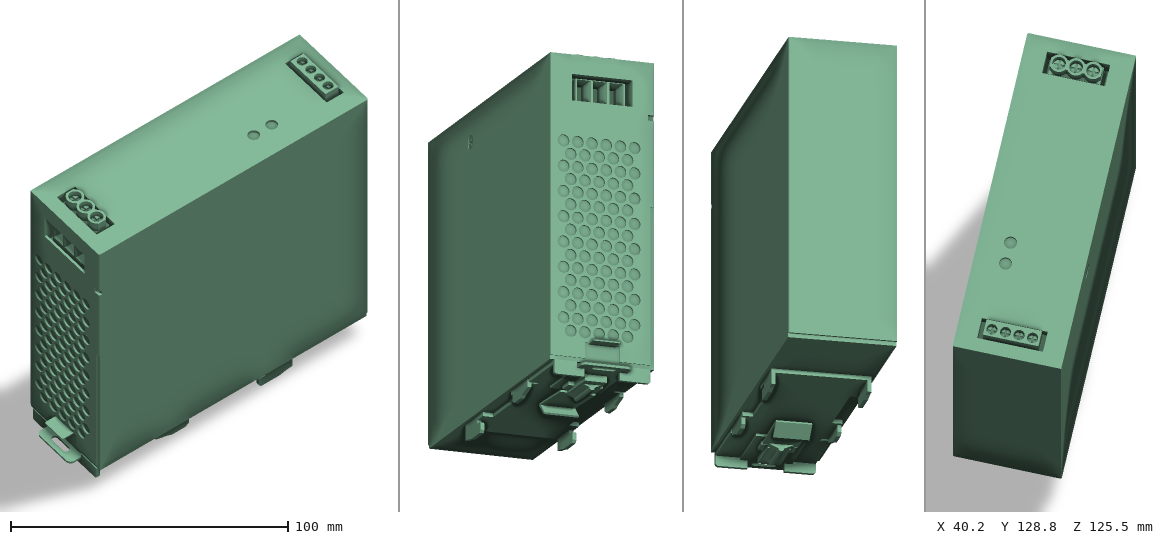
import cadquery as cq
import math


WIDTH = 40.2
DEPTH = 123.5
HEIGHT = 115.3
COVER_CORNER = 0.6
SKIRT_HEIGHT = 1.5
SKIRT_FRONT = 0.4
SKIRT_BACK = 0.9
SEAM_WIDTH = 1.5
SEAM_TOP = 61.0
NOTCH_WIDTH = 2.6
NOTCH_HEIGHT = 2.0
NOTCH_Z = 94.5
NOTCH_DEPTH = 1.3

TAB_CENTER_X = 20.0
TAB_POCKET_WIDTH = 13.3
TAB_POCKET_TOP = 7.5
TAB_WIDTH = 10.4
TAB_THICKNESS = 0.5
TAB_REACH = 5.0
TAB_CORNER = 0.5

VENT_DIAMETER = 4.5
VENT_ROWS = 16
VENT_LONG_ROW = 6
VENT_ROW_SPAN = 27.4
VENT_PITCH = VENT_ROW_SPAN / (VENT_LONG_ROW - 1)
VENT_ROW_PITCH = VENT_PITCH * math.sin(math.radians(60))
VENT_FIRST_X = 5.0
VENT_TOP_Z = 82.5
VENT_DEPTH = 0.8

LED_DIAMETER = 4.6
LED_X = 28.5
LED_YS = (80.1, 88.4)
LED_DEPTH = 1.0
SCREW_DIAMETER = 5.3
SCREW_Y = 80.6
SCREW_Z = 103.7
SCREW_RECESS = 0.3
SCREW_SLOT_LENGTH = 3.0
SCREW_SLOT_WIDTH = 0.6
SCREW_SLOT_DEPTH = 1.0

TERMINAL_RISE = 2.2
REAR_POCKET = (7.9, 32.2, 110.6, 118.5)
REAR_BLOCK = (9.8, 30.3, 111.5, 117.6)
REAR_POCKET_DEPTH = 3.9
REAR_POLES = 4
REAR_PITCH = 5.0
REAR_SCREW_Y = 114.9
REAR_HOLE_DIAMETER = 4.0
REAR_SCREW_DIAMETER = 3.5

FRONT_POCKET = (8.4, 31.7, 5.5, 13.9)
FRONT_BLOCK = (10.4, 29.6, 6.3, 13.1)
FRONT_POLES = 3
FRONT_PITCH = 6.3
FRONT_COLLAR_DIAMETER = 6.7
FRONT_WEB = 0.8
FRONT_WEB_START = 8.0
FRONT_WEB_END = 11.6
FRONT_SHOULDER_DROP = 1.9
FRONT_HOLE_DIAMETER = 4.9
FRONT_SCREW_DIAMETER = 4.0
TERMINAL_HOLE_DEPTH = 3.2
TERMINAL_SCREW_HEIGHT = 1.3
TERMINAL_SLOT_WIDTH = 0.8

WINDOW_BOTTOM = 98.0
WINDOW_TOP = 107.9
PANEL = 1.0
POCKET_FLOOR = 95.3
ENTRY_BLOCK_FRONT = 2.2
ENTRY_BLOCK_TOP = 107.0
ENTRY_WIDTH = 5.4
ENTRY_BOTTOM = 98.4
ENTRY_TOP = 106.8
ENTRY_INNER_WIDTH = 2.6
ENTRY_INNER_BOTTOM = 100.0
ENTRY_INNER_TOP = 105.9
ENTRY_FUNNEL_DEPTH = 3.9
ENTRY_INNER_DEPTH = 2.6

SHEET = 1.5
BRACKET_X0 = 1.5
BRACKET_X1 = 38.6
BRACKET_BACK = 89.9
FLANGE_DROP = 5.4
FLANGE_CORNER = 1.0
FLANGE_NOTCH_WIDTH = 13.7
GUIDE_WIDTH = 16.4
GUIDE_SETBACK = 0.9
SIDE_NOTCHES = ((25.6, 27.2), (43.9, 72.1))
SIDE_NOTCH_DEPTH = 3.9
SLIDE_WIDTH = 19.3
SLIDE_THICKNESS = 0.9
SLIDE_FRONT = -5.3
SLIDE_BACK = 27.2
SLIDE_CORNER = 2.2
SLIDE_HOLE_LENGTH = 9.0
SLIDE_HOLE_WIDTH = 2.6
SLIDE_HOLE_Y = -1.8
SLIDE_UNDERSIDE = -SHEET - SLIDE_THICKNESS
RIB_WIDTH = 8.5
RIB_FRONT = 6.2
RIB_BACK = 22.5
RIB_BOTTOM = -4.9
SHOULDER_WIDTH = 13.3
SHOULDER_FRONT = 16.7
SHOULDER_BOTTOM = -3.9
GRIP_FRONT = 10.2
GRIP_BACK = 25.6
GRIP_SHOULDER = -4.5
GRIP_TIP_RADIUS = 1.0
GRIP_TIP_Z = -5.9
SPRING_WIDTH = 13.4
SPRING_ROOT = GRIP_BACK - 1.3


def box(x0, x1, y0, y1, z0, z1):
    """Box between two opposite corners."""
    return cq.Workplane("XY").box(x1 - x0, y1 - y0, z1 - z0, centered=False).translate((x0, y0, z0))


def box_about(center_x, width, y0, y1, z0, z1):
    """Box placed symmetrically about a given x."""
    return box(center_x - width / 2, center_x + width / 2, y0, y1, z0, z1)


def upright_cylinder(x, y, diameter, z0, z1):
    return cq.Workplane("XY", origin=(x, y, z0)).circle(diameter / 2).extrude(z1 - z0)


def side_profile(profile, x0, x1):
    """Extrude a YZ outline between two x positions."""
    return profile.extrude(x1 - x0).translate((x0, 0, 0))


def pole_positions(block, count, pitch):
    """Evenly spaced x positions centred on a terminal block."""
    middle = (block[0] + block[1]) / 2
    return [middle + (i - (count - 1) / 2) * pitch for i in range(count)]


def make_housing():
    body = box(0, WIDTH, 0, DEPTH, 0, HEIGHT).edges("|Z and >X").fillet(COVER_CORNER)
    body = body.cut(box(0, WIDTH, 0, SKIRT_FRONT, 0, SKIRT_HEIGHT))
    body = body.cut(box(0, WIDTH, DEPTH - SKIRT_BACK, DEPTH, 0, SKIRT_HEIGHT))
    body = body.cut(box(WIDTH - SEAM_WIDTH, WIDTH, 0, SKIRT_FRONT, 0, SEAM_TOP))
    notch_bottom = NOTCH_Z - NOTCH_HEIGHT / 2
    return body.cut(
        box(WIDTH - NOTCH_WIDTH, WIDTH, 0, NOTCH_DEPTH, notch_bottom, notch_bottom + NOTCH_HEIGHT)
    )


def add_tab(body):
    body = body.cut(box_about(TAB_CENTER_X, TAB_POCKET_WIDTH, 0, SKIRT_FRONT, 0, TAB_POCKET_TOP))
    tab = box_about(
        TAB_CENTER_X, TAB_WIDTH, -TAB_REACH, SKIRT_FRONT, TAB_POCKET_TOP - TAB_THICKNESS, TAB_POCKET_TOP
    )
    return body.union(tab.edges("|Z and <Y").fillet(TAB_CORNER))


def cut_vents(body):
    """Staggered rows of vents, alternately one hole shorter."""
    points = []
    for row in range(VENT_ROWS):
        short = row % 2
        for column in range(VENT_LONG_ROW - short):
            x = VENT_FIRST_X + (column + short / 2) * VENT_PITCH
            points.append((x, VENT_TOP_Z - row * VENT_ROW_PITCH))
    vents = cq.Workplane("XZ").pushPoints(points).circle(VENT_DIAMETER / 2).extrude(-VENT_DEPTH)
    return body.cut(vents)


def cut_leds(body):
    for y in LED_YS:
        body = body.cut(upright_cylinder(LED_X, y, LED_DIAMETER, HEIGHT - LED_DEPTH, HEIGHT))
    return body


def cut_side_screw(body):
    """Sunk screw head with a cross recess on the -X face."""
    plane = cq.Workplane("YZ").center(SCREW_Y, SCREW_Z)
    body = body.cut(plane.circle(SCREW_DIAMETER / 2).extrude(SCREW_RECESS))
    body = body.cut(plane.rect(SCREW_SLOT_LENGTH, SCREW_SLOT_WIDTH).extrude(SCREW_SLOT_DEPTH))
    return body.cut(plane.rect(SCREW_SLOT_WIDTH, SCREW_SLOT_LENGTH).extrude(SCREW_SLOT_DEPTH))


def drill_terminal(body, x, y, hole_diameter, screw_diameter):
    """Screw hole from the terminal top with a cross-slotted screw on its floor."""
    top = HEIGHT + TERMINAL_RISE
    floor = top - TERMINAL_HOLE_DEPTH
    body = body.cut(upright_cylinder(x, y, hole_diameter, floor, top))
    screw = upright_cylinder(x, y, screw_diameter, floor, floor + TERMINAL_SCREW_HEIGHT)
    slots = cq.Workplane("XY", origin=(x, y, floor + TERMINAL_SCREW_HEIGHT / 2))
    screw = screw.cut(slots.rect(screw_diameter, TERMINAL_SLOT_WIDTH).extrude(TERMINAL_SCREW_HEIGHT))
    screw = screw.cut(slots.rect(TERMINAL_SLOT_WIDTH, screw_diameter).extrude(TERMINAL_SCREW_HEIGHT))
    return body.union(screw)


def add_rear_terminal(body):
    floor = HEIGHT - REAR_POCKET_DEPTH
    body = body.cut(box(*REAR_POCKET, floor, HEIGHT))
    body = body.union(box(*REAR_BLOCK, floor, HEIGHT + TERMINAL_RISE))
    for x in pole_positions(REAR_BLOCK, REAR_POLES, REAR_PITCH):
        body = drill_terminal(body, x, REAR_SCREW_Y, REAR_HOLE_DIAMETER, REAR_SCREW_DIAMETER)
    return body


def make_wire_entry(x):
    """Tapered funnel ending in a narrow rectangular hole."""
    outer_z = (ENTRY_BOTTOM + ENTRY_TOP) / 2
    inner_z = (ENTRY_INNER_BOTTOM + ENTRY_INNER_TOP) / 2
    inner_height = ENTRY_INNER_TOP - ENTRY_INNER_BOTTOM
    inner_y = ENTRY_BLOCK_FRONT + ENTRY_FUNNEL_DEPTH
    funnel = (
        cq.Workplane("XZ", origin=(x, ENTRY_BLOCK_FRONT, outer_z))
        .rect(ENTRY_WIDTH, ENTRY_TOP - ENTRY_BOTTOM)
        .workplane(offset=-ENTRY_FUNNEL_DEPTH)
        .center(0, inner_z - outer_z)
        .rect(ENTRY_INNER_WIDTH, inner_height)
        .loft(ruled=True)
    )
    inner = box_about(
        x, ENTRY_INNER_WIDTH, inner_y, inner_y + ENTRY_INNER_DEPTH, ENTRY_INNER_BOTTOM, ENTRY_INNER_TOP
    )
    return funnel.union(inner)


def add_front_terminal(body):
    x0, x1, y0, y1 = FRONT_BLOCK
    center_y = (y0 + y1) / 2
    top = HEIGHT + TERMINAL_RISE
    poles = pole_positions(FRONT_BLOCK, FRONT_POLES, FRONT_PITCH)

    pocket_x0, pocket_x1 = FRONT_POCKET[:2]
    body = body.cut(box(*FRONT_POCKET, POCKET_FLOOR, HEIGHT))
    body = body.cut(box(pocket_x0, pocket_x1, PANEL, y0, POCKET_FLOOR, WINDOW_TOP))
    body = body.cut(box(pocket_x0, pocket_x1, 0, PANEL, WINDOW_BOTTOM, WINDOW_TOP))
    body = body.union(box(*FRONT_BLOCK, POCKET_FLOOR, HEIGHT - FRONT_SHOULDER_DROP))
    body = body.union(box(x0, x1, ENTRY_BLOCK_FRONT, y0, POCKET_FLOOR, ENTRY_BLOCK_TOP))
    for x in poles:
        collar = upright_cylinder(x, center_y, FRONT_COLLAR_DIAMETER, WINDOW_TOP, top)
        core = box_about(x, FRONT_PITCH - FRONT_WEB, y0, y1, WINDOW_TOP, top)
        web_span = box_about(x, FRONT_PITCH, FRONT_WEB_START, FRONT_WEB_END, WINDOW_TOP, top)
        body = body.union(collar.intersect(core)).union(web_span)
        body = drill_terminal(body, x, center_y, FRONT_HOLE_DIAMETER, FRONT_SCREW_DIAMETER)
        body = body.cut(make_wire_entry(x))
    return body


def make_rear_hook():
    return (
        cq.Workplane("YZ")
        .moveTo(BRACKET_BACK, 0)
        .lineTo(BRACKET_BACK, -5.9)
        .lineTo(87.1, -6.2)
        .lineTo(84.0, -7.0)
        .lineTo(75.5, -7.0)
        .lineTo(74.6, -5.9)
        .lineTo(74.6, -4.0)
        .threePointArc((75.0, -3.2), (75.7, -2.8))
        .lineTo(77.7, -2.8)
        .lineTo(77.7, 0)
        .close()
    )


def make_front_hook():
    return (
        cq.Workplane("YZ")
        .moveTo(42.4, 0)
        .lineTo(42.4, -4.1)
        .lineTo(40.8, -5.3)
        .lineTo(34.4, -5.3)
        .lineTo(32.8, -4.5)
        .lineTo(27.2, -3.0)
        .lineTo(27.2, 0)
        .close()
    )


def make_bracket():
    """Sheet under the housing with a front flange and hooks folded down both sides."""
    sheet = box(BRACKET_X0, BRACKET_X1, 0, BRACKET_BACK, -SHEET, 0)
    flange = box(BRACKET_X0, BRACKET_X1, 0, SHEET, -FLANGE_DROP, 0)
    flange = flange.edges("|Y and <Z").fillet(FLANGE_CORNER)
    flange = flange.cut(
        box_about(TAB_CENTER_X, FLANGE_NOTCH_WIDTH, 0, SHEET, -FLANGE_DROP, -SHEET)
    )
    for y0, y1 in SIDE_NOTCHES:
        sheet = sheet.cut(box(BRACKET_X0, BRACKET_X0 + SIDE_NOTCH_DEPTH, y0, y1, -SHEET, 0))
        sheet = sheet.cut(box(BRACKET_X1 - SIDE_NOTCH_DEPTH, BRACKET_X1, y0, y1, -SHEET, 0))
    bracket = sheet.union(flange)
    bracket = bracket.cut(box_about(TAB_CENTER_X, SLIDE_WIDTH, 0, SHEET, SLIDE_UNDERSIDE, 0))
    bracket = bracket.union(box_about(TAB_CENTER_X, GUIDE_WIDTH, GUIDE_SETBACK, SHEET, -SHEET, 0))
    for x0 in (BRACKET_X0, BRACKET_X1 - SHEET):
        bracket = bracket.union(side_profile(make_rear_hook(), x0, x0 + SHEET))
        bracket = bracket.union(side_profile(make_front_hook(), x0, x0 + SHEET))
    return bracket


def make_slide():
    """Release slide with pull eye, rib, tapered grip and the leaf spring behind it."""
    plate = box_about(TAB_CENTER_X, SLIDE_WIDTH, SLIDE_FRONT, SLIDE_BACK, SLIDE_UNDERSIDE, -SHEET)
    plate = plate.edges("|Z and <Y").fillet(SLIDE_CORNER)
    eye = (
        cq.Workplane("XY", origin=(TAB_CENTER_X, SLIDE_HOLE_Y, SLIDE_UNDERSIDE))
        .slot2D(SLIDE_HOLE_LENGTH, SLIDE_HOLE_WIDTH)
        .extrude(SLIDE_THICKNESS)
    )
    rib = box_about(TAB_CENTER_X, RIB_WIDTH, RIB_FRONT, RIB_BACK, RIB_BOTTOM, SLIDE_UNDERSIDE)
    shoulder = box_about(
        TAB_CENTER_X, SHOULDER_WIDTH, SHOULDER_FRONT, RIB_BACK, SHOULDER_BOTTOM, SLIDE_UNDERSIDE
    )
    half = RIB_WIDTH / 2
    grip = (
        cq.Workplane("XZ", origin=(TAB_CENTER_X, GRIP_FRONT, 0))
        .moveTo(-half, SLIDE_UNDERSIDE)
        .lineTo(-half, GRIP_SHOULDER)
        .lineTo(-GRIP_TIP_RADIUS, GRIP_TIP_Z)
        .threePointArc((0, GRIP_TIP_Z - GRIP_TIP_RADIUS), (GRIP_TIP_RADIUS, GRIP_TIP_Z))
        .lineTo(half, GRIP_SHOULDER)
        .lineTo(half, SLIDE_UNDERSIDE)
        .close()
        .extrude(GRIP_FRONT - GRIP_BACK)
    )
    spring = (
        cq.Workplane("YZ")
        .polyline([
            (SPRING_ROOT, -3.6),
            (42.5, -2.8),
            (45.6, -2.8),
            (46.1, -3.6),
            (41.5, -8.0),
            (40.8, -7.5),
            (44.6, -3.7),
            (42.5, -3.6),
            (SPRING_ROOT, -4.4),
        ])
        .close()
    )
    spring = side_profile(spring, TAB_CENTER_X - SPRING_WIDTH / 2, TAB_CENTER_X + SPRING_WIDTH / 2)
    return plate.cut(eye).union(rib).union(shoulder).union(grip).union(spring)


housing = add_tab(make_housing())
housing = cut_vents(housing)
housing = cut_leds(housing)
housing = cut_side_screw(housing)
housing = add_rear_terminal(housing)
housing = add_front_terminal(housing)
result = housing.union(make_bracket()).union(make_slide())